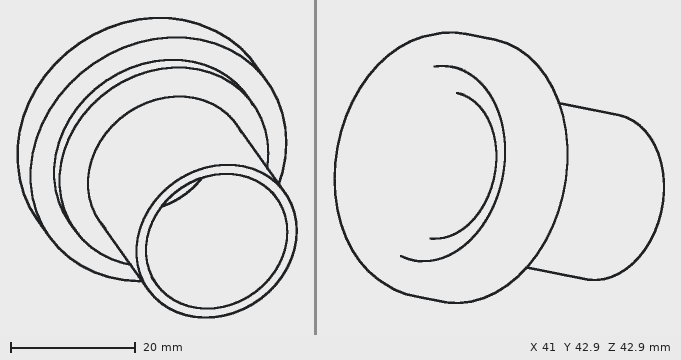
import cadquery as cq
import math

LENGTH = 41.0
BORE_RADIUS = 23.7 / 2
TUBE_RADIUS = 26.9 / 2
COLLAR_RADIUS = 35.0 / 2
FLANGE_RADIUS = 42.9 / 2

FLANGE_END = 9.0
COLLAR_END = 12.0
CONE_ANGLE = 30.0
TAPER_LENGTH = 2.0
TAPER_ANGLE = 15.0

GROOVE_SECTION_RADIUS = 1.75
GROOVE_CENTER_RADIUS = 14.1
GROOVE_CENTER_X = 1.0
LIP_X = 2.3

EDGE_FILLET = 0.5


def groove_half_width(x):
    """Half the radial width of the round groove section in the plane at x."""
    return math.sqrt(GROOVE_SECTION_RADIUS**2 - (x - GROOVE_CENTER_X) ** 2)


def make_body():
    """Flange, collar, cone and tube around the bore, with the groove and the set-back lip."""
    taper_drop = TAPER_LENGTH * math.tan(math.radians(TAPER_ANGLE))
    cone_length = (COLLAR_RADIUS - TUBE_RADIUS) * math.tan(math.radians(CONE_ANGLE))
    groove_outer_radius = GROOVE_CENTER_RADIUS + groove_half_width(0)
    groove_inner_radius = GROOVE_CENTER_RADIUS - groove_half_width(LIP_X)
    groove_bottom = (GROOVE_CENTER_X + GROOVE_SECTION_RADIUS, GROOVE_CENTER_RADIUS)
    profile = (
        cq.Workplane("XY")
        .moveTo(0, groove_outer_radius)
        .lineTo(0, FLANGE_RADIUS - taper_drop)
        .lineTo(TAPER_LENGTH, FLANGE_RADIUS)
        .lineTo(FLANGE_END, FLANGE_RADIUS)
        .lineTo(FLANGE_END, COLLAR_RADIUS)
        .lineTo(COLLAR_END, COLLAR_RADIUS)
        .lineTo(COLLAR_END + cone_length, TUBE_RADIUS)
        .lineTo(LENGTH, TUBE_RADIUS)
        .lineTo(LENGTH, BORE_RADIUS)
        .lineTo(LIP_X, BORE_RADIUS)
        .lineTo(LIP_X, groove_inner_radius)
        .threePointArc(groove_bottom, (0, groove_outer_radius))
    )
    return profile.close().revolve(360, (0, 0, 0), (1, 0, 0))


def round_front_edges(body):
    """Round both edges of the sealing face, then both edges of the lip behind it."""
    face_rounded = body.faces("<X").edges().fillet(EDGE_FILLET)
    lip_face = face_rounded.faces("%PLANE").faces(">X[1]")
    return lip_face.edges().fillet(EDGE_FILLET)


result = round_front_edges(make_body())